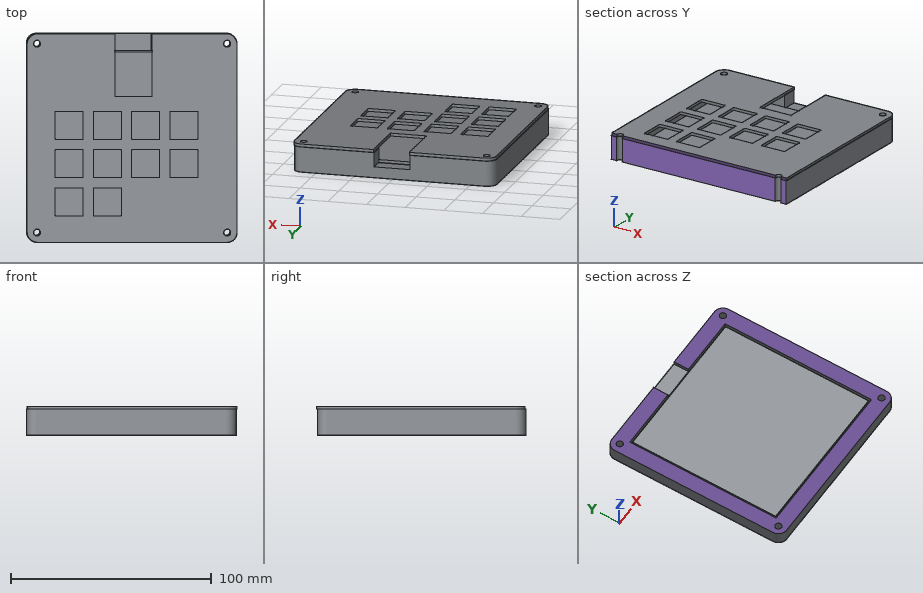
import cadquery as cq

case_width = 104.5
case_depth = 103.9
case_height = 13.0
corner_radius = 5.0
wall_thickness = 8.7

plate_thickness = 1.5
plate_shift_x = 0.4
plate_shift_y = -0.4

screw_hole_diameter = 3.4
screw_inset = 4.9
screw_spacing_x = case_width - 2 * screw_inset
screw_spacing_y = case_depth - 2 * screw_inset

slot_width = 18.6
slot_center_x = 0.6
slot_floor_z = 5.7
notch_length = 31.2

keys_per_row = (4, 4, 2)
key_window = 14.0
key_corner_radius = 0.3
key_pitch = 19.04
first_key_x = -31.4
first_key_y = 6.4

board_clearance = 0.8
board_thickness = 1.6
board_top_above_slot = 1.2

cavity_floor_z = slot_floor_z + board_top_above_slot - board_thickness
rear_y = case_depth / 2
cavity_width = case_width - 2 * wall_thickness
cavity_depth = case_depth - 2 * wall_thickness


def rounded_slab(height):
    """Outline shared by case and plate, with a screw hole at every corner."""
    return (
        cq.Workplane("XY")
        .rect(case_width, case_depth)
        .extrude(height)
        .edges("|Z")
        .fillet(corner_radius)
        .faces(">Z")
        .workplane()
        .rect(screw_spacing_x, screw_spacing_y, forConstruction=True)
        .vertices()
        .hole(screw_hole_diameter)
    )


def rear_cutter(length, height):
    """Block that opens the rear edge to the given length."""
    return (
        cq.Workplane("XY")
        .center(slot_center_x, rear_y - length / 2)
        .rect(slot_width, length)
        .extrude(height)
    )


def make_case():
    cavity = (
        cq.Workplane("XY", origin=(0, 0, cavity_floor_z))
        .rect(cavity_width, cavity_depth)
        .extrude(case_height - cavity_floor_z)
    )
    cable_slot = rear_cutter(wall_thickness, case_height - slot_floor_z).translate((0, 0, slot_floor_z))
    return rounded_slab(case_height).cut(cavity).cut(cable_slot)


def make_board():
    return (
        cq.Workplane("XY", origin=(0, 0, cavity_floor_z))
        .rect(cavity_width - 2 * board_clearance, cavity_depth - 2 * board_clearance)
        .extrude(board_thickness)
    )


def make_plate():
    key_centers = [
        (first_key_x + column * key_pitch, first_key_y - row * key_pitch)
        for row, key_count in enumerate(keys_per_row)
        for column in range(key_count)
    ]
    key_windows = (
        cq.Workplane("XY")
        .pushPoints(key_centers)
        .rect(key_window, key_window)
        .extrude(plate_thickness)
        .edges("|Z")
        .fillet(key_corner_radius)
    )
    notch = rear_cutter(notch_length, plate_thickness)
    plate = rounded_slab(plate_thickness).cut(notch).cut(key_windows)
    return plate.translate((plate_shift_x, plate_shift_y, case_height))


case = make_case()
board = make_board()
plate = make_plate()

result = cq.Compound.makeCompound([case.val(), board.val(), plate.val()])